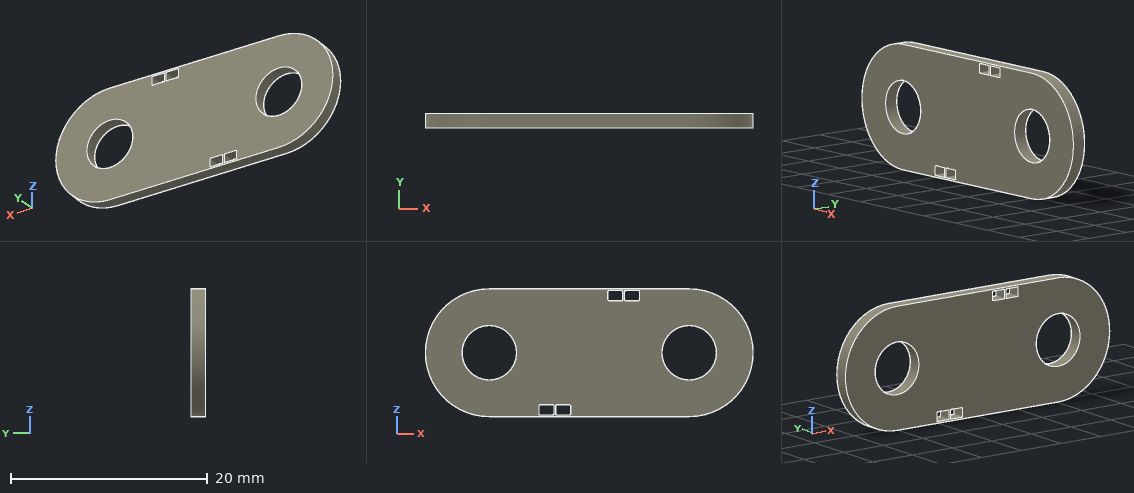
import cadquery as cq

length = 33.3
height = 13.0
thickness = 1.5

hole_diameter = 5.5
hole_spacing = length - height

window_width = 1.5
window_height = 1.0
window_corner_radius = 0.1
window_gap = 0.2
edge_margin = 0.2
pair_offset = 3.5

window_pitch = window_width + window_gap
back_face = (0, thickness / 2, 0)
window_row_z = height / 2 - edge_margin - window_height / 2


def make_plate():
    """Slot-shaped plate centred on the origin."""
    return cq.Workplane("XZ", origin=back_face).slot2D(length, height).extrude(thickness)


def make_round_holes():
    """Cutters for the hole at each end."""
    return (
        cq.Workplane("XZ", origin=back_face)
        .rarray(hole_spacing, 1, 2, 1)
        .circle(hole_diameter / 2)
        .extrude(thickness)
    )


def make_window_pair(center_x, center_z):
    """Cutters for two windows side by side around the given middle."""
    return (
        cq.Workplane("XZ", origin=back_face)
        .center(center_x, center_z)
        .rarray(window_pitch, 1, 2, 1)
        .rect(window_width, window_height)
        .extrude(thickness)
        .edges("|Y")
        .fillet(window_corner_radius)
    )


result = make_plate().cut(make_round_holes())

for side in (1, -1):
    result = result.cut(make_window_pair(side * pair_offset, side * window_row_z))